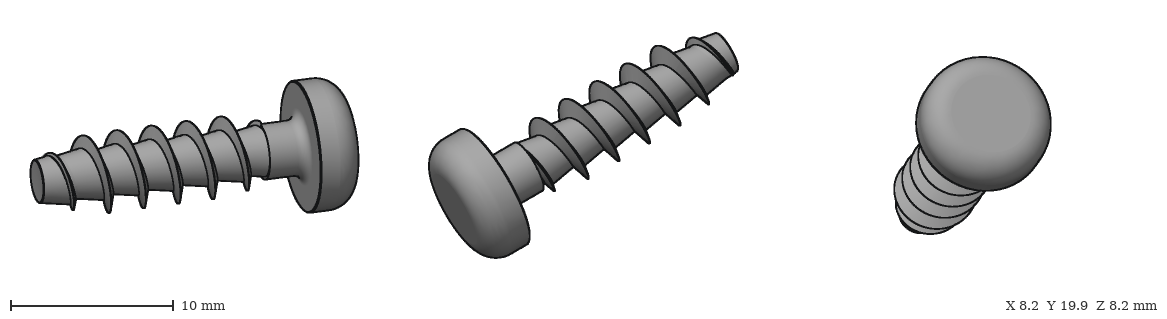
import cadquery as cq
import math


head_diameter = 8.2
head_height = 2.88
head_top_radius = 1.6
head_bottom_chamfer = 0.07

shank_diameter = 3.44
shank_length = 2.5
neck_fillet_radius = 0.68

overall_length = 19.89
screw_length = overall_length - head_height
tip_edge_chamfer = 0.05
tip_dish_depth = 0.05
core_length = screw_length - tip_edge_chamfer
tip_diameter = 2.71
root_diameter = 2.82
core_taper_angle = 9.8

pitch = 2.24
thread_start = 2.45
thread_diameter = 5.0
crest_width = 0.04
head_side_flank = 0.45
tip_side_flank = 0.30
lead_in_start_turn = -0.3
full_start_turn = 1.0
full_end_turn = 5.0
run_out_end_turn = 6.4
lead_in_growth = 0.56
run_out_growth = -0.8

overlap = 0.03

root_radius = root_diameter / 2
crest_radius = thread_diameter / 2
taper_slope = math.tan(math.radians(core_taper_angle))


def helical_bar(profile, start_turn, end_turn, growth=0.0):
    """Solid bar of a (radius, distance) profile running round the shank toward the tip.

    Distances are measured from the ridge crest; the profile moves outward by growth per turn.
    """
    cone_angle = math.degrees(math.atan2(growth, pitch)) if growth else 360.0
    turn_length = math.hypot(pitch, growth)
    turns = end_turn - start_turn
    edges = []
    for radius, distance in profile:
        helix = cq.Wire.makeHelix(turn_length, turns * turn_length, radius, angle=cone_angle)
        edges.append(helix.translate(cq.Vector(0, 0, distance)).Edges()[0])
    faces = []
    for index, edge in enumerate(edges):
        faces.append(cq.Face.makeRuledSurface(edges[index - 1], edge))
    for end in (0, 1):
        corners = [edge.positionAt(end) for edge in edges]
        faces.append(cq.Face.makeFromWires(cq.Wire.makePolygon(corners, close=True)))
    bar = cq.Solid.makeSolid(cq.Shell.makeShell(faces)).fix()
    return (
        cq.Workplane(bar)
        .rotate((0, 0, 0), (0, 0, 1), 360 * start_turn)
        .rotate((0, 0, 0), (1, 0, 0), 90)
        .rotate((0, 0, 0), (0, 1, 0), -90)
        .translate((0, -thread_start - start_turn * pitch, 0))
    )


def make_head_and_shank():
    head_radius = head_diameter / 2
    shank_radius = shank_diameter / 2
    arc_inset = head_top_radius * (1 - math.sqrt(0.5))
    return (
        cq.Workplane("XY")
        .moveTo(0, head_height)
        .lineTo(head_radius - head_top_radius, head_height)
        .threePointArc(
            (head_radius - arc_inset, head_height - arc_inset),
            (head_radius, head_height - head_top_radius),
        )
        .lineTo(head_radius, head_bottom_chamfer)
        .lineTo(head_radius - head_bottom_chamfer, 0)
        .lineTo(shank_radius + neck_fillet_radius, 0)
        .radiusArc((shank_radius, -neck_fillet_radius), -neck_fillet_radius)
        .lineTo(shank_radius, -shank_length)
        .lineTo(0, -shank_length)
        .close()
        .revolve(360, (0, 0, 0), (0, 1, 0))
    )


def make_core():
    """Core that narrows toward the tip between each ridge and the next."""
    inner_radius = root_radius - overlap
    root_distance = pitch - head_side_flank
    wedge_start = tip_side_flank / 2
    wedge_profile = [
        (inner_radius, wedge_start),
        (root_radius + (root_distance - wedge_start) * taper_slope, wedge_start),
        (inner_radius, root_distance + overlap / taper_slope),
    ]
    wedge = helical_bar(wedge_profile, -1.0, run_out_end_turn)
    core = cq.Workplane("XZ").circle(root_radius).extrude(screw_length).union(wedge)
    tip_radius = tip_diameter / 2
    rim_radius = tip_radius - tip_edge_chamfer
    dish_bottom = tip_dish_depth - screw_length
    dish_radius = (rim_radius**2 + tip_dish_depth**2) / (2 * tip_dish_depth)
    envelope = (
        cq.Workplane("XY")
        .lineTo(tip_radius + core_length * taper_slope, 0)
        .lineTo(tip_radius, -core_length)
        .lineTo(rim_radius, -screw_length)
        .radiusArc((0, dish_bottom), -dish_radius)
        .close()
        .revolve(360, (0, 0, 0), (0, 1, 0))
    )
    return core.intersect(envelope)


def make_ridge(crest, start_turn, end_turn, growth=0.0):
    """Stretch of thread whose crest starts at the given radius."""
    depth = crest_radius - root_radius + overlap
    profile = [
        (crest - depth, -head_side_flank),
        (crest, -crest_width / 2),
        (crest, crest_width / 2),
        (crest - depth, tip_side_flank),
    ]
    return helical_bar(profile, start_turn, end_turn, growth)


def make_thread():
    lead_in_crest = crest_radius - lead_in_growth * (full_start_turn - lead_in_start_turn)
    lead_in = make_ridge(lead_in_crest, lead_in_start_turn, full_start_turn, lead_in_growth)
    full = make_ridge(crest_radius, full_start_turn, full_end_turn)
    run_out = make_ridge(crest_radius, full_end_turn, run_out_end_turn, run_out_growth)
    threaded_zone = (
        cq.Workplane("XZ", origin=(0, -shank_length, 0))
        .circle(thread_diameter)
        .extrude(core_length - shank_length)
    )
    return lead_in.union(full).union(run_out).intersect(threaded_zone)


result = make_core().union(make_thread()).union(make_head_and_shank())